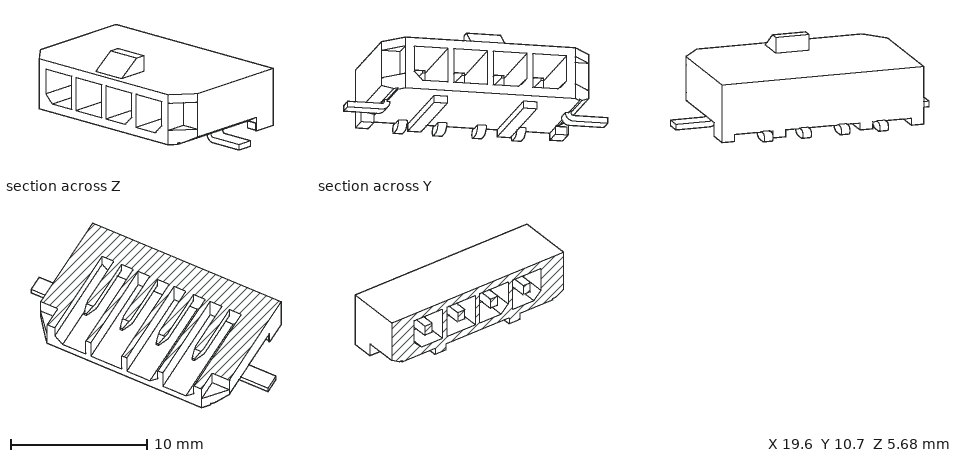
import cadquery as cq
import math


overall_length = 19.65
housing_length = 15.66
housing_depth = 9.9
housing_bottom = 0.6
housing_top = 4.48
half_length = housing_length / 2
mid_height = (housing_bottom + housing_top) / 2

bevel_length = 1.41
bevel_depth = 1.67
notch_bottom = 1.73
notch_top = 3.81

contact_pitch = 2.99
cavity_size = 2.55
cavity_depth = 7.47
key_bevel = 0.65
key_sides = [-1, 0, 1, 1]
contact_count = len(key_sides)
pin_width = 0.67
pin_height = 0.83
pin_level = 2.57
pin_shoulder_height = 0.67
pin_shoulder_length = 0.15
pin_tip_size = 0.2
pin_tip_length = 0.98
pin_setback = 2.35

tail_height = 0.67
tail_end = 10.7
tail_nose_radius = 0.325
tail_bend_start = housing_depth - 0.25
tail_heel_radius = 0.88

undercut_side_height = 1.14
undercut_roof = 0.73
undercut_slope_end = 7.11
undercut_inner = 6.85

foot_bottom = 0.08
foot_front = 8.05
relief_top = 0.67
relief_outer = 7.72
relief_depth = 0.1
rail_width = 1.0
rail_offset = 3.38
rail_front = 1.57

tab_thickness = 0.43
tab_width = 1.28
tab_front = 3.99
tab_inner = 6.62
tab_bend_radius = 0.6
tab_top = 1.38

latch_width = 2.57
latch_top = 5.68
latch_front = 0.55
latch_crest_front = 2.18
latch_rear = 2.97


def box(x_range, y_range, z_range):
    """Box spanning the given coordinate ranges."""
    size = [high - low for low, high in (x_range, y_range, z_range)]
    corner = (x_range[0], y_range[0], z_range[0])
    return cq.Workplane("XY").box(*size, centered=False).translate(corner)


def front_sketch(y):
    """XZ workplane at depth y; extruding by a negative length goes toward the rear."""
    return cq.Workplane("XZ", origin=(0, y, 0))


def mirrored(shape):
    """The shape joined with its mirror image across x = 0."""
    return shape.union(shape.mirror("YZ"))


def make_housing():
    front_half = half_length - bevel_length
    outline = [
        (-front_half, 0),
        (front_half, 0),
        (half_length, bevel_depth),
        (half_length, housing_depth),
        (-half_length, housing_depth),
        (-half_length, bevel_depth),
    ]
    body = cq.Workplane("XY", origin=(0, 0, housing_bottom)).polyline(outline).close()
    body = body.extrude(housing_top - housing_bottom)
    notch = box((front_half, half_length), (0, bevel_depth), (notch_bottom, notch_top))
    return body.cut(mirrored(notch))


def make_undercuts():
    profile = [
        (half_length, 0),
        (half_length, undercut_side_height),
        (undercut_slope_end, undercut_roof),
        (undercut_inner, undercut_roof),
        (undercut_inner, 0),
    ]
    return mirrored(front_sketch(0).polyline(profile).close().extrude(-foot_front))


def make_feet():
    foot = box((undercut_inner, half_length), (foot_front, housing_depth), (foot_bottom, housing_bottom))
    return mirrored(foot)


def make_foot_relief():
    """Shallow pocket in the front of the +X foot."""
    return box(
        (undercut_inner, relief_outer),
        (foot_front, foot_front + relief_depth),
        (foot_bottom, relief_top),
    )


def make_rails():
    inner = rail_offset - rail_width / 2
    rail = box((inner, inner + rail_width), (rail_front, housing_depth), (foot_bottom, housing_bottom))
    return mirrored(rail)


def make_cavity(x, key_side):
    cavity = front_sketch(0).center(x, mid_height).rect(cavity_size, cavity_size).extrude(-cavity_depth)
    if key_side:
        corner_x = x + key_side * cavity_size / 2
        corner_z = mid_height - cavity_size / 2
        key = front_sketch(0).polyline([
            (corner_x, corner_z),
            (corner_x - key_side * key_bevel, corner_z),
            (corner_x, corner_z + key_bevel),
        ])
        cavity = cavity.cut(key.close().extrude(-cavity_depth))
    return cavity


def pin_taper(x, y, base_height, end_height, end_width, length):
    """Taper from a section of full pin width at depth y toward the mating face."""
    base = front_sketch(y).center(x, pin_level).rect(pin_width, base_height)
    return base.workplane(offset=length).rect(end_width, end_height).loft(ruled=True)


def make_pin(x):
    """Pin with a sloped shoulder above and below and a blunt pyramid tip."""
    tip_base = pin_setback + pin_tip_length
    shank_start = tip_base + pin_shoulder_length
    shank = front_sketch(shank_start).center(x, pin_level).rect(pin_width, pin_height)
    shank = shank.extrude(shank_start - cavity_depth)
    shoulder = pin_taper(x, shank_start, pin_height, pin_shoulder_height, pin_width, pin_shoulder_length)
    tip = pin_taper(x, tip_base, pin_shoulder_height, pin_tip_size, pin_tip_size, pin_tip_length)
    return shank.union(shoulder).union(tip)


def make_tail(x):
    """Flat solder tail with a rounded rear end and a curved front heel."""
    heel_front = tail_bend_start - tail_heel_radius
    heel_inset = tail_heel_radius * math.sqrt(0.5)
    heel_middle = (tail_bend_start - heel_inset, tail_heel_radius - heel_inset)
    tail = (
        cq.Workplane("YZ", origin=(x - pin_width / 2, 0, 0))
        .moveTo(tail_end, 0)
        .lineTo(tail_bend_start, 0)
        .threePointArc(heel_middle, (heel_front, tail_heel_radius))
        .lineTo(tail_bend_start, tail_heel_radius)
        .lineTo(tail_bend_start, tail_height)
        .lineTo(tail_end, tail_height)
        .close()
        .extrude(pin_width)
    )
    return tail.edges("|X and >Y").fillet(tail_nose_radius)


def make_tabs():
    """L-shaped tabs that bend out of the housing underside to lie on the mounting plane."""
    outline = [
        (overall_length / 2, 0),
        (tab_inner, 0),
        (tab_inner, tab_top),
        (tab_inner + tab_thickness, tab_top),
        (tab_inner + tab_thickness, tab_thickness),
        (overall_length / 2, tab_thickness),
    ]
    tab = front_sketch(tab_front).polyline(outline).close().extrude(-tab_width)
    tab_middle = tab_front + tab_width / 2
    outer_bend = cq.selectors.NearestToPointSelector((tab_inner, tab_middle, 0))
    inner_corner = (tab_inner + tab_thickness, tab_middle, tab_thickness)
    inner_bend = cq.selectors.NearestToPointSelector(inner_corner)
    tab = tab.edges(inner_bend).fillet(tab_bend_radius - tab_thickness)
    tab = tab.edges(outer_bend).fillet(tab_bend_radius)
    return mirrored(tab)


def make_latch():
    profile = [
        (latch_front, housing_top),
        (latch_crest_front, latch_top),
        (latch_rear, latch_top),
        (latch_rear, housing_top),
    ]
    sketch = cq.Workplane("YZ", origin=(-latch_width / 2, 0, 0)).polyline(profile).close()
    return sketch.extrude(latch_width)


part = make_housing().cut(make_undercuts())
part = part.union(make_feet()).cut(make_foot_relief())
part = part.union(make_rails()).union(make_tabs()).union(make_latch())

for index, side in enumerate(key_sides):
    contact_x = (index - (contact_count - 1) / 2) * contact_pitch
    part = part.cut(make_cavity(contact_x, side))
    part = part.union(make_pin(contact_x)).union(make_tail(contact_x))

result = part